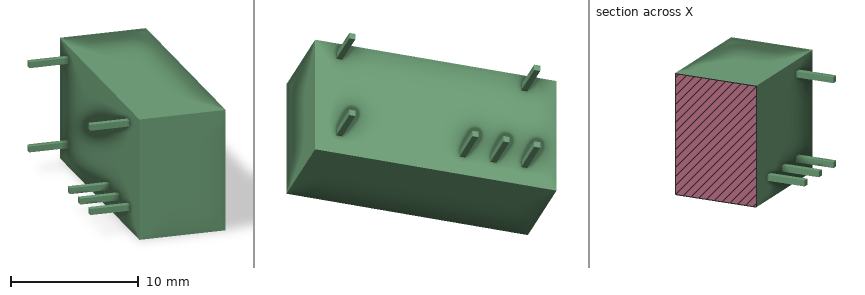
import cadquery as cq

body_width = 19.9
body_depth = 7.1
body_height = 10.0

pin_size = 0.5
pin_length = 3.25

column_span = 15.25
column_pitch = column_span / 6
row_span = 7.0
first_column_x = 1.99
lower_row_z = 1.85
lower_row_columns = (0, 4, 5, 6)
upper_row_columns = (0, 6)


def make_body():
    """Plain block with its pin face on the plane Y = 0."""
    return cq.Workplane("XY").box(body_width, body_depth, body_height, centered=False)


def pin_centres():
    """X and Z of every pin axis."""
    lower = [(first_column_x + n * column_pitch, lower_row_z) for n in lower_row_columns]
    upper = [(first_column_x + n * column_pitch, lower_row_z + row_span) for n in upper_row_columns]
    return lower + upper


def make_pins():
    """Square pins reaching from the pin face toward -Y."""
    return cq.Workplane("XZ").pushPoints(pin_centres()).rect(pin_size, pin_size).extrude(pin_length)


result = make_body().union(make_pins())